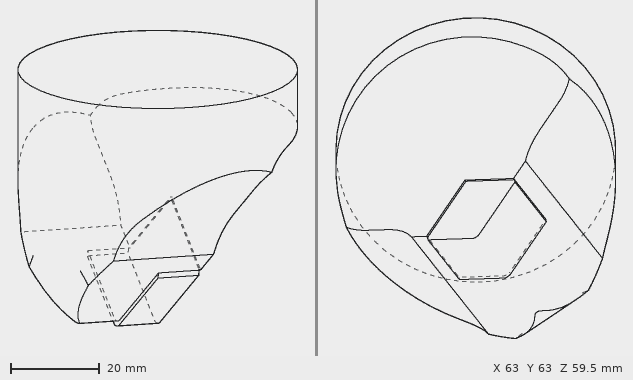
import cadquery as cq
import math


shank_radius = 31.5
overall_height = 59.5

tilt = math.radians(8)
insert_face_y = -0.2
flank_slope = math.tan(math.radians(50))

insert_half_width = 12
insert_depth = 12.4
insert_recess = 0.4
nose_radius = 1.2
nose_drop = nose_radius * (math.hypot(1, flank_slope) - 1)
insert_corner_height = insert_half_width * flank_slope - nose_drop
insert_overhang = 1.2

neck_half_width = 15.7
shoulder_half_width = 20.9
shoulder_height = 29.6
flank_end_half_width = 37.8
holder_tip_height = insert_overhang - nose_drop
neck_height = holder_tip_height + neck_half_width * flank_slope
flank_end_height = shoulder_height + (flank_end_half_width - shoulder_half_width) * flank_slope

step_edge_z = -12.5
step_slope = math.tan(math.radians(7))
step_fillet = 10.0

relief_top_z = -34.3
relief_bend_z = -45.0
relief_angle = math.radians(11)
relief_radius = 18.5
relief_sweep = math.radians(60)

reach = 94.5


def tilted_plane(depth):
    """Plane parallel to the rake face, at a depth behind the insert face."""
    y = insert_face_y - depth * math.cos(tilt)
    z = -overall_height + depth * math.sin(tilt)
    return cq.Plane((0, y, z), (1, 0, 0), (0, -math.cos(tilt), math.sin(tilt)))


def round_nose(body, start, depth, height):
    """Round the edge where two flanks meet, on a prism of the given start and depth."""
    middle = tilted_plane(start + depth / 2).toWorldCoords((0, height, 0))
    nose_edge = cq.selectors.NearestToPointSelector(middle.toTuple())
    return body.edges(nose_edge).fillet(nose_radius)


def neck_arc_middle():
    """Middle of the neck arc that leaves the upper flank tangentially."""
    run = shoulder_half_width - neck_half_width
    drop = shoulder_height - neck_height
    chord = math.hypot(run, drop)
    half_turn = math.atan2(drop, run) - math.atan(flank_slope)
    bulge = chord / 2 * math.tan(half_turn / 2)
    x = (shoulder_half_width + neck_half_width) / 2 - bulge * drop / chord
    height = (shoulder_height + neck_height) / 2 + bulge * run / chord
    return x, height


def make_flanks():
    """Tilted prism that bounds the shank and nose from the sides and below."""
    x, height = neck_arc_middle()
    profile = (
        cq.Workplane(tilted_plane(-reach))
        .moveTo(0, holder_tip_height)
        .lineTo(neck_half_width, neck_height)
        .threePointArc((x, height), (shoulder_half_width, shoulder_height))
        .lineTo(flank_end_half_width, flank_end_height)
        .lineTo(flank_end_half_width, reach)
        .lineTo(-flank_end_half_width, reach)
        .lineTo(-flank_end_half_width, flank_end_height)
        .lineTo(-shoulder_half_width, shoulder_height)
        .threePointArc((-x, height), (-neck_half_width, neck_height))
        .close()
    )
    return round_nose(profile.extrude(2 * reach), -reach, 2 * reach, holder_tip_height)


def make_step():
    """Space above the rake face, below the sloping step floor."""
    face_y = insert_face_y + insert_recess / math.cos(tilt)
    face_slope = math.tan(tilt)
    edge_face_y = face_y + (overall_height + step_edge_z) * face_slope
    drop = (shank_radius - edge_face_y) * step_slope / (1 - step_slope * face_slope)
    corner = (edge_face_y - drop * face_slope, step_edge_z - drop)
    outer_edge_z = step_edge_z + (reach - shank_radius) * step_slope
    bottom = (face_y - (reach - overall_height) * face_slope, -reach)
    return (
        cq.Workplane("YZ")
        .polyline([corner, (reach, outer_edge_z), (reach, -reach), bottom])
        .close()
        .extrude(reach, both=True)
        .edges(cq.selectors.NearestToPointSelector((0, *corner)))
        .fillet(step_fillet)
    )


def make_relief():
    """Space outside the flat and curved relief on the -Y side."""
    bend_y = -shank_radius + (relief_top_z - relief_bend_z) * math.tan(relief_angle)
    centre_y = bend_y + relief_radius * math.cos(relief_angle)
    centre_z = relief_bend_z + relief_radius * math.sin(relief_angle)

    def on_curve(turn):
        angle = relief_angle + turn
        y = centre_y - relief_radius * math.cos(angle)
        z = centre_z - relief_radius * math.sin(angle)
        return y, z

    end_y = on_curve(relief_sweep)[0]
    return (
        cq.Workplane("YZ")
        .moveTo(-shank_radius, relief_top_z)
        .lineTo(bend_y, relief_bend_z)
        .threePointArc(on_curve(relief_sweep / 2), on_curve(relief_sweep))
        .lineTo(end_y, -reach)
        .lineTo(-reach, -reach)
        .lineTo(-reach, relief_top_z)
        .close()
        .extrude(reach, both=True)
    )


def make_insert(start, depth):
    """Rhombic prism with blunt side corners and a rounded nose."""
    side_top = insert_corner_height + insert_overhang
    prism = (
        cq.Workplane(tilted_plane(start))
        .moveTo(0, -nose_drop)
        .lineTo(insert_half_width, insert_corner_height)
        .lineTo(insert_half_width, side_top)
        .lineTo(0, side_top + insert_half_width * flank_slope)
        .lineTo(-insert_half_width, side_top)
        .lineTo(-insert_half_width, insert_corner_height)
        .close()
        .extrude(depth)
    )
    return round_nose(prism, start, depth, -nose_drop)


shank = cq.Workplane("XY").circle(shank_radius).extrude(-overall_height - shank_radius)
holder = shank.intersect(make_flanks()).cut(make_step()).cut(make_relief())
pocket = make_insert(-2 * insert_recess, 2 * insert_recess)
result = holder.cut(pocket).union(make_insert(0, insert_depth))